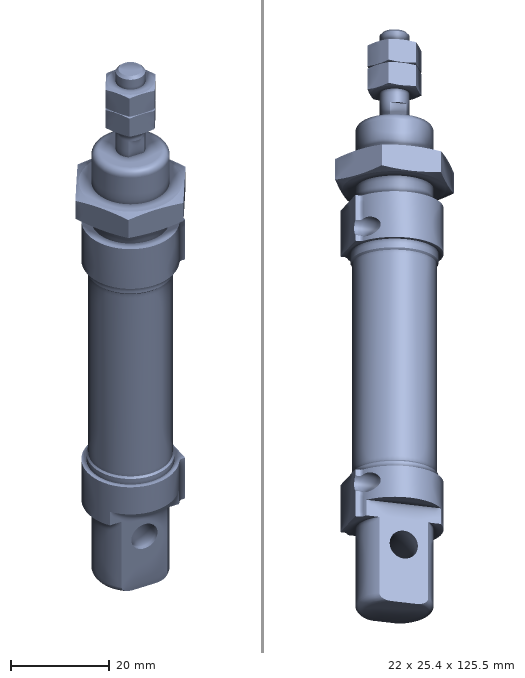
import cadquery as cq
import math

clevis_cut_top = 21.3
rear_cap_bottom = 18.0
rear_cap_top = 28.1
rear_collar_top = 29.9
front_collar_bottom = 75.4
front_cap_bottom = 77.7
front_cap_top = 87.6
neck_top = 105.5
rod_flat_top = 109.5
rod_top = 125.5

cap_diameter = 20.0
tube_diameter = 17.2
collar_diameter = 18.0
neck_diameter = 16.0
end_fillet = 1.5
clevis_width = 12.0
clevis_hole_diameter = 6.0
clevis_hole_height = 12.5

pad_width = 9.8
pad_fillet = 1.0
port_diameter = 4.1
port_offset = 6.1
port_depth = 6.0
rear_port_height = 25.1
front_port_height = 80.6

rod_diameter = 6.0
rod_tip_diameter = 4.9
rod_flat_width = 4.9

mount_nut_width = 22.0
mount_nut_thickness = 5.6
mount_nut_bottom = 91.7
rod_nut_width = 10.0
rod_nut_thickness = 5.0
rod_nut_bottom = 112.5
rod_nut_count = 2
nut_face_ratio = 0.96
nut_chamfer_angle = 15.0
nut_turn_angle = 30.0


def cylinder(diameter, bottom, top):
    return cq.Workplane("XY").workplane(offset=bottom).circle(diameter / 2).extrude(top - bottom)


def box_between_flats(width, length, bottom, top):
    """Bar centred on the axis whose two flats face -X and +X."""
    return cq.Workplane("XY").workplane(offset=bottom).rect(width, length).extrude(top - bottom)


def make_cap(bottom, top, port_height):
    """Round end cap with a flat pad on +Y and a port drilled beside the pad's -X face."""
    cap_radius = cap_diameter / 2
    cap = cylinder(cap_diameter, bottom, top)
    pad = (
        cq.Workplane("XY")
        .workplane(offset=bottom)
        .center(0, cap_radius / 2)
        .rect(pad_width, cap_radius)
        .extrude(top - bottom)
    )
    cap = cap.union(pad)
    root_y = math.sqrt(cap_radius**2 - (pad_width / 2) ** 2)
    middle = (bottom + top) / 2
    for side in (-1, 1):
        root = cq.NearestToPointSelector((side * pad_width / 2, root_y, middle))
        cap = cap.edges("|Z").edges(root).fillet(pad_fillet)
    port = (
        cq.Workplane("XZ", origin=(-port_offset, cap_radius, port_height))
        .circle(port_diameter / 2)
        .extrude(port_depth)
    )
    return cap.cut(port)


def make_clevis():
    """Round stub with a filleted end; it carries the rear cap."""
    return cylinder(neck_diameter, 0, rear_cap_bottom).faces("<Z").edges().fillet(end_fillet)


def cut_clevis(body):
    outside = cylinder(2 * cap_diameter, 0, clevis_cut_top)
    outside = outside.cut(box_between_flats(clevis_width, 3 * cap_diameter, 0, clevis_cut_top))
    hole = (
        cq.Workplane("YZ", origin=(0, 0, clevis_hole_height))
        .circle(clevis_hole_diameter / 2)
        .extrude(clevis_width, both=True)
    )
    return body.cut(outside).cut(hole)


def make_housing():
    crimp = (collar_diameter - tube_diameter) / 2
    tube = cylinder(tube_diameter, rear_cap_top, front_cap_bottom)
    rear_collar = cylinder(collar_diameter, rear_cap_top, rear_collar_top)
    front_collar = cylinder(collar_diameter, front_collar_bottom, front_cap_bottom)
    neck = cylinder(neck_diameter, front_cap_top, neck_top).faces(">Z").edges().fillet(end_fillet)
    rear_end = make_cap(rear_cap_bottom, rear_cap_top, rear_port_height).union(make_clevis())
    return (
        cut_clevis(rear_end)
        .union(tube)
        .union(rear_collar.faces(">Z").chamfer(crimp))
        .union(front_collar.faces("<Z").chamfer(crimp))
        .union(make_cap(front_cap_bottom, front_cap_top, front_port_height))
        .union(neck)
    )


def make_rod():
    """Plain rod standing on the neck, with wrench flats at its foot and a chamfered tip."""
    tip_chamfer = (rod_diameter - rod_tip_diameter) / 2
    rod = cylinder(rod_diameter, rod_flat_top, rod_top).faces(">Z").chamfer(tip_chamfer)
    foot = cylinder(rod_diameter, neck_top, rod_flat_top)
    foot = foot.intersect(box_between_flats(rod_flat_width, 2 * rod_diameter, neck_top, rod_flat_top))
    return rod.union(foot)


def make_nut(width, bore, thickness, bottom):
    """Hexagon nut with corners toward -Y and +Y, and conical chamfers on both faces."""
    corner_radius = width / math.sqrt(3)
    face_radius = width * nut_face_ratio / 2
    drop = (corner_radius - face_radius) * math.tan(math.radians(nut_chamfer_angle))
    hexagon = (
        cq.Workplane("XY")
        .polygon(6, 2 * corner_radius)
        .extrude(thickness)
        .rotate((0, 0, 0), (0, 0, 1), nut_turn_angle)
    )
    envelope = (
        cq.Workplane("XZ")
        .moveTo(0, 0)
        .lineTo(face_radius, 0)
        .lineTo(corner_radius, drop)
        .lineTo(corner_radius, thickness - drop)
        .lineTo(face_radius, thickness)
        .lineTo(0, thickness)
        .close()
        .revolve(360, (0, 0, 0), (0, 1, 0))
    )
    nut = hexagon.intersect(envelope).cut(cylinder(bore, 0, thickness))
    return nut.translate((0, 0, bottom))


housing = make_housing()
rod = make_rod()
mount_nut = make_nut(mount_nut_width, neck_diameter, mount_nut_thickness, mount_nut_bottom)
rod_nuts = [
    make_nut(rod_nut_width, rod_diameter, rod_nut_thickness, rod_nut_bottom + i * rod_nut_thickness)
    for i in range(rod_nut_count)
]

result = cq.Compound.makeCompound(
    [housing.val(), rod.val(), mount_nut.val(), *[nut.val() for nut in rod_nuts]]
)